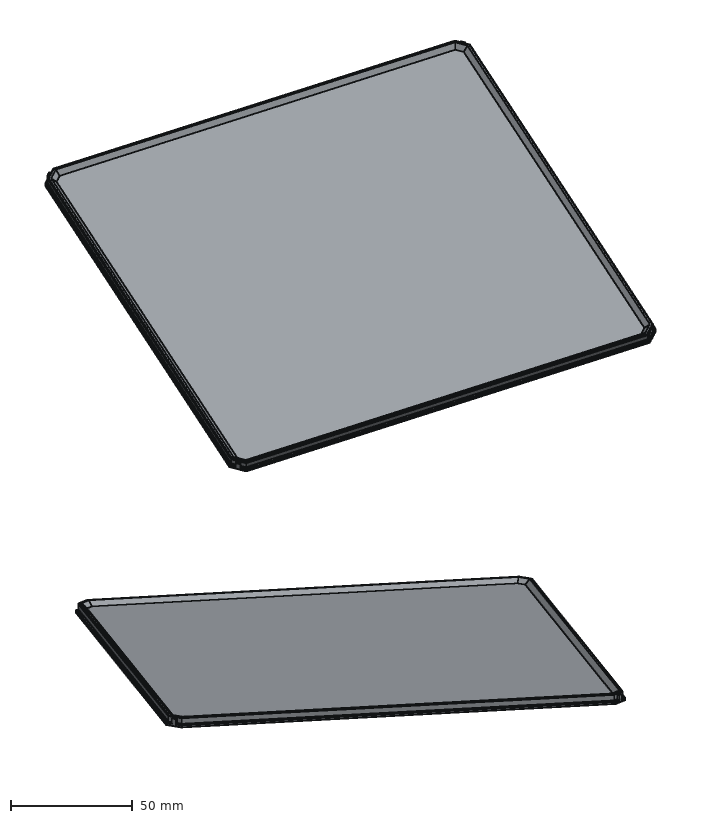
import cadquery as cq
import math

SIDE = 193.0
HEIGHT = 4.0
CORNER_LEG = 5.22

FLANGE_HEIGHT = 0.85
LEDGE_WIDTH = 0.5
FOOT_CHAMFER = 0.5
RIM_CHAMFER = 0.38

POCKET_INSET = 2.32
POCKET_DEPTH = 2.07

TAB_WIDTH = 2.0
TAB_HEIGHT = 3.15
TAB_LENGTH = 3.0

CORNER_COUNT = 4
WALL_INSET = LEDGE_WIDTH + FOOT_CHAMFER
LEG_LOSS = 2.0 - math.sqrt(2.0)


def octagon_wire(inset, z):
    """Square outline with cut corners, moved inward by `inset`, at height `z`."""
    half = SIDE / 2 - inset
    straight = half - (CORNER_LEG - LEG_LOSS * inset)
    first_corner = [(half, straight), (straight, half)]
    second_corner = [(-straight, half), (-half, straight)]
    opposite = [(-x, -y) for x, y in first_corner + second_corner]
    points = first_corner + second_corner + opposite
    return cq.Workplane("XY", origin=(0, 0, z)).polyline(points).close().val()


def band(lower, upper):
    """Ruled solid between two outlines, each given as (inset, z)."""
    sections = [octagon_wire(*lower), octagon_wire(*upper)]
    return cq.Workplane(obj=cq.Solid.makeLoft(sections, True))


def outer_body():
    foot_top = FLANGE_HEIGHT + FOOT_CHAMFER
    wall_top = HEIGHT - RIM_CHAMFER
    flange = band((0, 0), (0, FLANGE_HEIGHT))
    foot = band((LEDGE_WIDTH, FLANGE_HEIGHT), (WALL_INSET, foot_top))
    wall = band((WALL_INSET, foot_top), (WALL_INSET, wall_top))
    bevel = band((WALL_INSET, wall_top), (WALL_INSET + RIM_CHAMFER, HEIGHT))
    return flange.union(foot).union(wall).union(bevel)


def corner_tab(number):
    """Upright tab in the middle of a corner, flush with the corner face of the flange."""
    face_distance = (SIDE - CORNER_LEG) / math.sqrt(2.0)
    angle = 360.0 / CORNER_COUNT * (number + 0.5)
    return (
        cq.Workplane("XY")
        .box(TAB_LENGTH, TAB_WIDTH, TAB_HEIGHT, centered=(False, True, False))
        .translate((face_distance - TAB_LENGTH, 0, 0))
        .rotate((0, 0, 0), (0, 0, 1), angle)
    )


def pocket():
    floor = (POCKET_INSET + POCKET_DEPTH, HEIGHT - POCKET_DEPTH)
    return band(floor, (POCKET_INSET, HEIGHT))


body = outer_body()
for corner in range(CORNER_COUNT):
    body = body.union(corner_tab(corner))

result = body.cut(pocket()).clean()